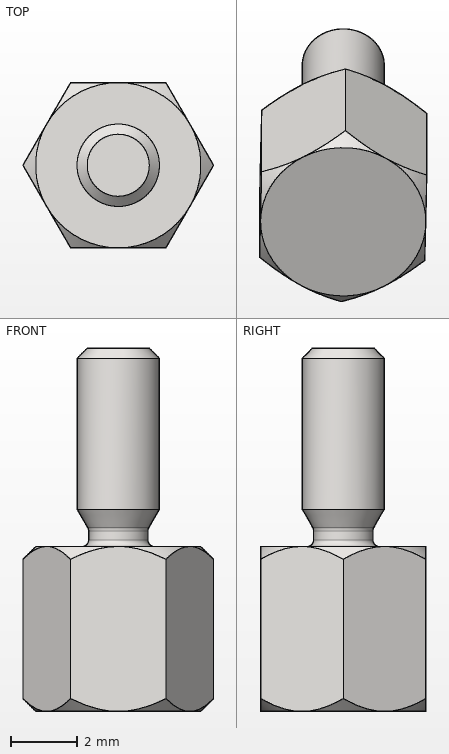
import cadquery as cq
import math

total_height = 11.0
across_flats = 5.0
across_corners = across_flats / math.cos(math.radians(30))
body_height = 4.99

stud_radius = 2.5 / 2
neck_radius = 1.8 / 2
tip_chamfer = 0.31
neck_fillet = 0.2
neck_top = 5.47
taper_half_angle = 30.0

corner_chamfer_angle = 45.0


def hex_body():
    """Hexagonal prism with its corners turned off conically at both ends."""
    prism = cq.Workplane("XY").polygon(6, across_corners).extrude(body_height)
    face_radius = across_flats / 2
    corner_radius = across_corners / 2
    drop = (corner_radius - face_radius) * math.tan(math.radians(corner_chamfer_angle))
    envelope = (
        cq.Workplane("XZ")
        .moveTo(0, 0)
        .lineTo(face_radius, 0)
        .lineTo(corner_radius, drop)
        .lineTo(corner_radius, body_height - drop)
        .lineTo(face_radius, body_height)
        .lineTo(0, body_height)
        .close()
        .revolve(360, (0, 0), (0, 1))
    )
    return prism.intersect(envelope)


def neck_arc_point(turn):
    """Point (radius, height) on the upper neck fillet after turning from vertical by degrees."""
    angle = math.radians(turn)
    return (
        neck_radius + neck_fillet * (1 - math.cos(angle)),
        neck_top + neck_fillet * math.sin(angle),
    )


def stud():
    """Chamfered stud, tapering to a neck that flares into the hexagon."""
    root_radius = neck_radius + neck_fillet
    taper_start = neck_arc_point(taper_half_angle)
    taper_slope = math.tan(math.radians(taper_half_angle))
    taper_top = taper_start[1] + (stud_radius - taper_start[0]) / taper_slope
    arc_inset = neck_fillet * (1 - math.sqrt(0.5))
    return (
        cq.Workplane("XZ")
        .moveTo(0, body_height)
        .lineTo(root_radius, body_height)
        .threePointArc(
            (neck_radius + arc_inset, body_height + arc_inset),
            (neck_radius, body_height + neck_fillet),
        )
        .lineTo(neck_radius, neck_top)
        .threePointArc(neck_arc_point(taper_half_angle / 2), taper_start)
        .lineTo(stud_radius, taper_top)
        .lineTo(stud_radius, total_height - tip_chamfer)
        .lineTo(stud_radius - tip_chamfer, total_height)
        .lineTo(0, total_height)
        .close()
        .revolve(360, (0, 0), (0, 1))
    )


result = hex_body().union(stud())